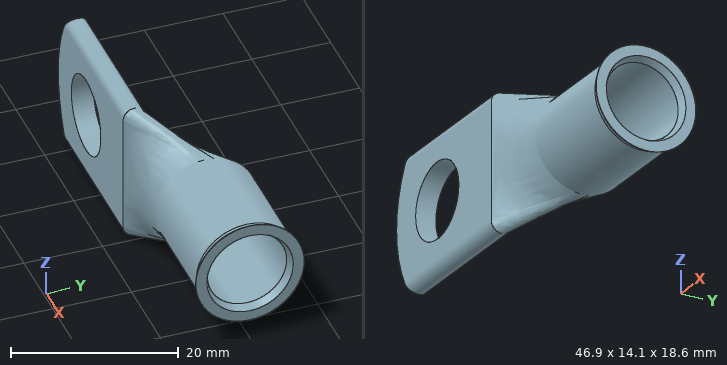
import cadquery as cq
import math

total_length = 46.9

palm_width = 18.55
palm_thickness = 2.8
palm_length = 22.5
palm_end_sag = 2.8
stud_hole_diameter = 10.2
stud_hole_x = 9.65

barrel_start = 31.65
barrel_diameter = 12.9
flare_diameter = 13.8
flare_length = 1.1
flare_lip = 0.1
total_depth = 14.08
side_strip_height = 1.9

wall = palm_thickness / 2
barrel_radius = barrel_diameter / 2
flare_radius = flare_diameter / 2
bore_radius = barrel_radius - wall
barrel_y = total_depth - flare_radius
flare_start = total_length - flare_length
side_angle = math.asin(side_strip_height / 2 / barrel_radius)


def make_palm():
    """Flat bar with full-round long edges and a curved tip."""
    bar = (
        cq.Workplane("YZ")
        .center(palm_thickness / 2, 0)
        .slot2D(palm_width, palm_thickness, 90)
        .extrude(palm_length)
    )
    outline = (
        cq.Workplane("XZ")
        .moveTo(palm_end_sag, palm_width / 2)
        .threePointArc((0, 0), (palm_end_sag, -palm_width / 2))
        .lineTo(palm_length, -palm_width / 2)
        .lineTo(palm_length, palm_width / 2)
        .close()
        .extrude(-palm_thickness)
    )
    return bar.intersect(outline)


def make_neck():
    """Ruled blend from the full-round palm section to the barrel circle."""
    half_flat = palm_width / 2 - wall
    corner_y = barrel_radius * math.sin(side_angle)
    corner_z = barrel_radius * math.cos(side_angle)
    return (
        cq.Workplane("YZ", origin=(palm_length, wall, 0))
        .moveTo(-wall, -half_flat)
        .lineTo(-wall, half_flat)
        .threePointArc((0, palm_width / 2), (wall, half_flat))
        .lineTo(wall, -half_flat)
        .threePointArc((0, -palm_width / 2), (-wall, -half_flat))
        .close()
        .workplane(offset=barrel_start - palm_length)
        .center(barrel_y - wall, 0)
        .moveTo(-corner_y, -corner_z)
        .threePointArc((-barrel_radius, 0), (-corner_y, corner_z))
        .threePointArc((0, barrel_radius), (corner_y, corner_z))
        .threePointArc((barrel_radius, 0), (corner_y, -corner_z))
        .threePointArc((0, -barrel_radius), (-corner_y, -corner_z))
        .close()
        .loft(ruled=True)
    )


def make_barrel():
    """Tube with a flared mouth, closed where the neck begins."""
    flare_growth = flare_radius - barrel_radius
    profile = [
        (barrel_start, 0),
        (barrel_start, barrel_radius),
        (flare_start, barrel_radius),
        (total_length - flare_lip, flare_radius),
        (total_length, flare_radius),
        (total_length, bore_radius + flare_growth),
        (flare_start, bore_radius),
        (barrel_start + wall, bore_radius),
        (barrel_start + wall, 0),
    ]
    return (
        cq.Workplane("XY")
        .polyline(profile)
        .close()
        .revolve(360, (0, 0, 0), (1, 0, 0))
        .translate((0, barrel_y, 0))
    )


stud_hole = (
    cq.Workplane("XZ")
    .center(stud_hole_x, 0)
    .circle(stud_hole_diameter / 2)
    .extrude(-palm_thickness)
)

result = make_palm().cut(stud_hole).union(make_neck()).union(make_barrel())